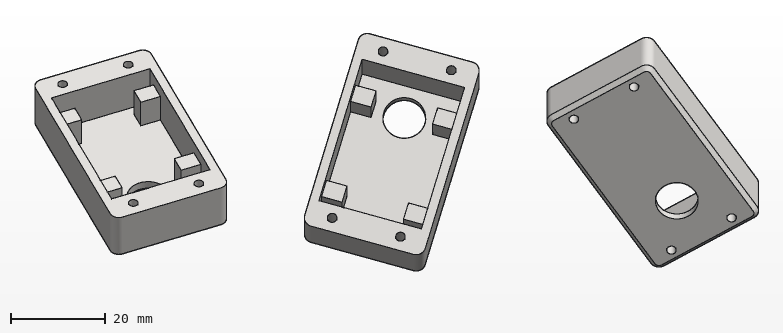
import cadquery as cq

length = 44.5
width = 26.5
height = 12.0
corner_radius = 2.0
bottom_chamfer = 1.0

pocket_length = 32.7
pocket_width = 22.5
floor_thickness = 2.0

screw_diameter = 2.0
screw_spacing_x = 38.5
screw_spacing_y = 15.0

opening_diameter = 9.0
opening_x = 9.5

post_length = 3.75
post_depth = 4.5
post_height = 7.0
post_centers_x = (-12.5, 9.5)


def make_body():
    body = cq.Workplane("XY").box(length, width, height, centered=(True, True, False))
    body = body.edges("|Z").fillet(corner_radius)
    return body.faces("<Z").edges().chamfer(bottom_chamfer)


def make_pocket():
    pocket = cq.Workplane("XY").workplane(offset=floor_thickness)
    return pocket.rect(pocket_length, pocket_width).extrude(height - floor_thickness)


def make_screw_holes():
    holes = cq.Workplane("XY").rect(screw_spacing_x, screw_spacing_y, forConstruction=True).vertices()
    return holes.circle(screw_diameter / 2).extrude(height)


def make_opening():
    return cq.Workplane("XY").center(opening_x, 0).circle(opening_diameter / 2).extrude(floor_thickness)


def make_posts():
    post_y = (pocket_width - post_depth) / 2
    centers = [(x, y) for x in post_centers_x for y in (-post_y, post_y)]
    posts = cq.Workplane("XY").workplane(offset=floor_thickness).pushPoints(centers)
    return posts.rect(post_length, post_depth).extrude(post_height)


result = (
    make_body()
    .cut(make_pocket())
    .cut(make_screw_holes())
    .cut(make_opening())
    .union(make_posts())
)